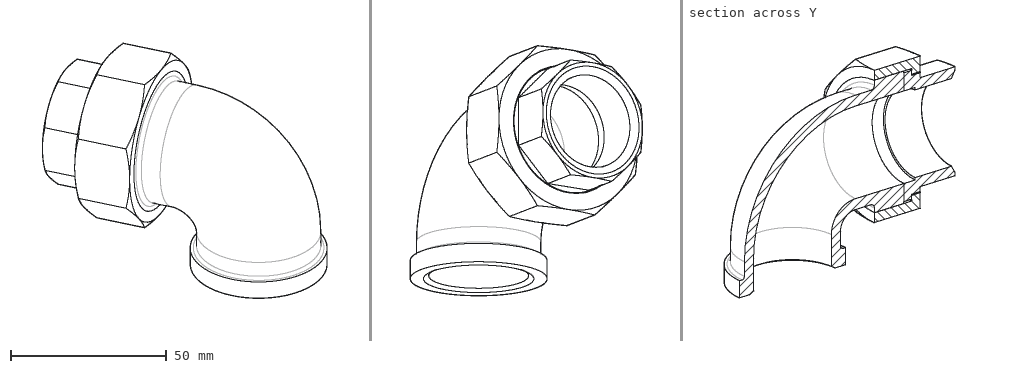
import cadquery as cq
import math

total_length = 89.2
nut_across_flats = 53.0
flange_diameter = 44.0
bend_radius = 25.9
total_height = 64.5
axis_height = total_height - nut_across_flats / 2
outlet_x = total_length - flange_diameter / 2
bend_start_x = outlet_x - bend_radius
bend_end_z = axis_height - bend_radius

pipe_diameter = 40.0
inlet_bore_diameter = 30.3
bore_mouth_diameter = 35.4
wide_bore_diameter = 32.0
inlet_bore_end_x = 16.6
mouth_angle = 30.0

nut_start_x = 14.4
nut_end_x = 33.45
nut_bore_diameter = 41.9
nut_lip_length = 3.6
nut_thread_diameter = 45.85
chamfer_angle = 30.0

tail_across_flats = 38.0
tail_collar_diameter = 41.5
tail_flange_diameter = 45.0
tail_end_x = 21.2

flange_height = 6.1
flange_fillet = 1.0
head_fillet = 1.3

OCTAGON_SIDES = 8
corner_ratio = 1 / math.cos(math.pi / OCTAGON_SIDES)


def cylinder_x(start_x, end_x, diameter):
    """Cylinder on the inlet axis."""
    return (
        cq.Workplane("YZ", origin=(start_x, 0, axis_height))
        .circle(diameter / 2)
        .extrude(end_x - start_x)
    )


def cylinder_z(start_z, end_z, diameter):
    """Cylinder on the outlet axis."""
    return (
        cq.Workplane("XY", origin=(outlet_x, 0, start_z))
        .circle(diameter / 2)
        .extrude(end_z - start_z)
    )


def octagon_x(start_x, end_x, across_flats):
    """Octagonal prism on the inlet axis with flats facing Y and Z."""
    return (
        cq.Workplane("YZ", origin=(start_x, 0, axis_height))
        .transformed(rotate=(0, 0, 180 / OCTAGON_SIDES))
        .polygon(OCTAGON_SIDES, across_flats * corner_ratio)
        .extrude(end_x - start_x)
    )


def corner_trim(start_x, end_x, across_flats, trim_end):
    """Turned envelope that cuts the octagon corners at the start and, if asked, at the end."""
    face_radius = across_flats / 2
    corner_radius = face_radius * corner_ratio
    chamfer_length = (corner_radius - face_radius) * math.tan(math.radians(chamfer_angle))
    profile = (
        cq.Workplane("XY")
        .moveTo(start_x, 0)
        .lineTo(start_x, face_radius)
        .lineTo(start_x + chamfer_length, corner_radius)
    )
    if trim_end:
        profile = profile.lineTo(end_x - chamfer_length, corner_radius).lineTo(end_x, face_radius)
    else:
        profile = profile.lineTo(end_x, corner_radius)
    turned = profile.lineTo(end_x, 0).close().revolve(360, (0, 0, 0), (1, 0, 0))
    return turned.translate((0, 0, axis_height))


def bend(diameter):
    """Quarter-torus from the inlet axis down to the outlet axis."""
    return (
        cq.Workplane("YZ", origin=(bend_start_x, 0, axis_height))
        .circle(diameter / 2)
        .revolve(90, (-0.9, -bend_radius, 0), (0.9, -bend_radius, 0))
    )


def mouth_cone(plane, end_diameter):
    """Tapered bore entry that narrows along the plane normal."""
    mouth_depth = (bore_mouth_diameter - end_diameter) / 2 * math.tan(math.radians(mouth_angle))
    return (
        cq.Workplane(plane)
        .circle(bore_mouth_diameter / 2)
        .workplane(offset=mouth_depth)
        .circle(end_diameter / 2)
        .loft()
    )


def make_tailpiece():
    body = octagon_x(0, nut_start_x, tail_across_flats)
    body = body.intersect(corner_trim(0, nut_start_x, tail_across_flats, False))
    lip_end_x = nut_start_x + nut_lip_length
    body = body.union(cylinder_x(nut_start_x, lip_end_x, tail_collar_diameter))
    body = body.union(cylinder_x(lip_end_x, tail_end_x, tail_flange_diameter))
    body = body.cut(cylinder_x(0, inlet_bore_end_x, inlet_bore_diameter))
    body = body.cut(cylinder_x(inlet_bore_end_x, tail_end_x, wide_bore_diameter))
    inlet_plane = cq.Plane(origin=(0, 0, axis_height), xDir=(0, 1, 0), normal=(1, 0, 0))
    return body.cut(mouth_cone(inlet_plane, inlet_bore_diameter))


def make_nut():
    body = octagon_x(nut_start_x, nut_end_x, nut_across_flats)
    body = body.intersect(corner_trim(nut_start_x, nut_end_x, nut_across_flats, True))
    body = body.cut(cylinder_x(nut_start_x, nut_end_x, nut_bore_diameter))
    return body.cut(cylinder_x(nut_start_x + nut_lip_length, nut_end_x, nut_thread_diameter))


def make_elbow():
    head = cylinder_x(tail_end_x, nut_end_x, nut_thread_diameter)
    inlet_pipe = cylinder_x(nut_end_x, bend_start_x, pipe_diameter)
    inlet = head.union(inlet_pipe)
    inlet = inlet.edges(cq.selectors.RadiusNthSelector(0)).edges("<X").fillet(head_fillet)
    flange = cylinder_z(0, flange_height, flange_diameter)
    outlet = flange.union(cylinder_z(flange_height, bend_end_z, pipe_diameter))
    outlet = outlet.edges(cq.selectors.RadiusNthSelector(0)).edges("<Z").fillet(flange_fillet)
    body = inlet.union(bend(pipe_diameter)).union(outlet)
    body = body.cut(cylinder_x(tail_end_x, bend_start_x, wide_bore_diameter))
    body = body.cut(bend(wide_bore_diameter))
    body = body.cut(cylinder_z(0, bend_end_z, wide_bore_diameter))
    outlet_plane = cq.Plane(origin=(outlet_x, 0, 0), xDir=(1, 0, 0), normal=(0, 0, 1))
    return body.cut(mouth_cone(outlet_plane, wide_bore_diameter))


tailpiece = make_tailpiece()
nut = make_nut()
elbow = make_elbow()

result = cq.Compound.makeCompound([tailpiece.val(), nut.val(), elbow.val()])